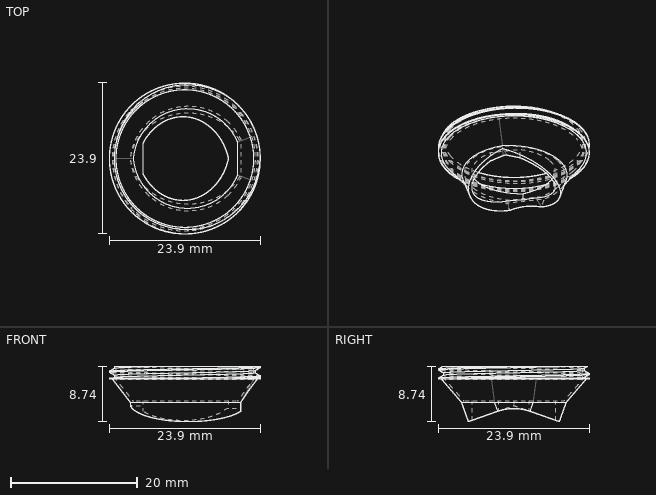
import cadquery as cq
import math

total_height = 8.74
rim_top = total_height
flange_top = rim_top - 1.85
flange_bottom = rim_top - 2.0
bore_bottom = rim_top - 2.05
floor_level = rim_top - 5.5
neck_top = rim_top - 5.68
roof_ridge = rim_top - 6.2

outer_radius = 23.85 / 2
bore_radius = 21.74 / 2
funnel_radius = 11.45

thread_pitch = 1.45
thread_flank_angle = 60
thread_depth = 0.8
thread_root_radius = outer_radius - thread_depth
flank_slope = math.tan(math.radians(thread_flank_angle / 2))
crest_width = 0.17
thread_overlap = 0.1
crest_drop = 0.12
thread_turns = 3

neck_cusp_x = -8.62
neck_flat_x = 8.84
neck_flat_half = 3.05
floor_cusp_x = -8.12
floor_wide = (0.5, 7.87)
floor_flat_x = 8.33
floor_flat_half = 2.6
flat_split_angle = math.radians(18)

hole_center_x = -0.29
hole_half_length = 6.59
hole_flat_x = -6.6
hole_shift = 2.17
hole_radius_x = 7.4
hole_radius_y = hole_half_length + hole_shift

neck_foot_y = 7.2
underside_slope = roof_ridge / neck_foot_y
underside_angle = math.atan(underside_slope)
neck_wide = (0.55, neck_foot_y + neck_top * underside_slope)
ridge_flat_radius = 8.0
ridge_cusp_radius = 0.05

clearance = 5.0
cut_margin = 0.1
tool_size = 4 * outer_radius


def egg_outline(cusp_x, wide, flat_x, flat_half, level):
    """Two arcs that meet in a cusp on the X axis and are joined by a flat."""
    wide_x, wide_y = wide
    return (
        cq.Workplane("XY", origin=(0, 0, level))
        .moveTo(cusp_x, 0)
        .threePointArc((wide_x, -wide_y), (flat_x, -flat_half))
        .lineTo(flat_x, flat_half)
        .threePointArc((wide_x, wide_y), (cusp_x, 0))
        .close()
    )


def split_circle(radius, level):
    """Circle in three arcs, matching the three edges of an egg outline."""
    corner_x = radius * math.cos(flat_split_angle)
    corner_y = radius * math.sin(flat_split_angle)
    return (
        cq.Workplane("XY", origin=(0, 0, level))
        .moveTo(-radius, 0)
        .threePointArc((0, -radius), (corner_x, -corner_y))
        .threePointArc((radius, 0), (corner_x, corner_y))
        .threePointArc((0, radius), (-radius, 0))
        .close()
    )


def funnel(radius, top, outline):
    """Ruled body from a circle down to an egg outline."""
    upper = split_circle(radius, top).val()
    return cq.Workplane(cq.Solid.makeLoft([outline.val(), upper], True))


def disc(radius, bottom, top):
    return cq.Workplane("XY", origin=(0, 0, bottom)).circle(radius).extrude(top - bottom)


def make_threaded_rim():
    """Root cylinder with the helical ridge, trimmed flat at both ends."""
    base_radius = thread_root_radius - thread_overlap
    base_half = crest_width / 2 + (outer_radius - base_radius) * flank_slope
    start = rim_top - crest_drop - (thread_turns - 1) * thread_pitch
    path = cq.Wire.makeHelix(
        thread_pitch, thread_turns * thread_pitch, thread_root_radius, cq.Vector(0, 0, start)
    )
    thread = (
        cq.Workplane("XZ", origin=(0, 0, start))
        .moveTo(base_radius, -base_half)
        .lineTo(outer_radius, -crest_width / 2)
        .lineTo(outer_radius, crest_width / 2)
        .lineTo(base_radius, base_half)
        .close()
        .sweep(cq.Workplane(path), isFrenet=True)
    )
    core = disc(thread_root_radius, flange_bottom - thread_pitch, rim_top + thread_pitch)
    return core.union(thread).intersect(disc(outer_radius + clearance, flange_top, rim_top))


def make_neck():
    """Two mirrored halves, each swept square to its own underside plane."""
    half_outline = (
        cq.Workplane("XY", origin=(0, 0, neck_top))
        .moveTo(neck_cusp_x, 0)
        .threePointArc(neck_wide, (neck_flat_x, neck_flat_half))
        .lineTo(neck_flat_x, 0)
        .close()
    )
    drop = neck_top + clearance
    sweep_vector = cq.Vector(0, -drop * underside_slope, -drop)
    half = cq.Workplane(cq.Solid.extrudeLinear(half_outline.val(), [], sweep_vector))
    positive_y = cq.Workplane("XY").box(tool_size, tool_size, tool_size, centered=(True, False, True))
    half = half.intersect(positive_y)
    return half.union(half.mirror("XZ"))


def underside_section(x, radius):
    """Section below the underside planes, with the ridge rounded by the given radius."""
    tangent_y = radius * math.sin(underside_angle)
    tangent_z = roof_ridge - tangent_y * underside_slope
    crown_z = roof_ridge - radius * (1 / math.cos(underside_angle) - 1)
    side_y = outer_radius
    side_z = roof_ridge - side_y * underside_slope
    base_z = -2 * clearance
    return (
        cq.Workplane("YZ", origin=(x, 0, 0))
        .moveTo(-side_y, side_z)
        .lineTo(-tangent_y, tangent_z)
        .threePointArc((0, crown_z), (tangent_y, tangent_z))
        .lineTo(side_y, side_z)
        .lineTo(side_y, base_z)
        .lineTo(-side_y, base_z)
        .close()
        .val()
    )


def make_underside_cut():
    """Body below the neck whose ridge rounding grows from the cusp to the flat."""
    sections = [
        underside_section(neck_cusp_x - cut_margin, ridge_cusp_radius),
        underside_section(neck_flat_x + cut_margin, ridge_flat_radius),
    ]
    return cq.Workplane(cq.Solid.makeLoft(sections, True))


def make_hole():
    """Straight hole with a cusp at +X and a flat at -X."""
    def shifted_ellipse(shift):
        center = (hole_center_x, shift, 0)
        return cq.Workplane("XY", origin=center).ellipse(hole_radius_x, hole_radius_y).extrude(rim_top)

    lens = shifted_ellipse(hole_shift).intersect(shifted_ellipse(-hole_shift))
    beyond_flat = cq.Workplane("XY", origin=(hole_flat_x, 0, 0)).box(
        tool_size, tool_size, tool_size, centered=(False, True, True)
    )
    return lens.intersect(beyond_flat)


rim = make_threaded_rim()
flange = disc(outer_radius, flange_bottom, flange_top)
neck_outline = egg_outline(neck_cusp_x, neck_wide, neck_flat_x, neck_flat_half, neck_top)
outer_funnel = funnel(funnel_radius, flange_bottom, neck_outline)
neck = make_neck().cut(make_underside_cut())

floor_outline = egg_outline(floor_cusp_x, floor_wide, floor_flat_x, floor_flat_half, floor_level)
inner_funnel = funnel(bore_radius, bore_bottom, floor_outline)
bore = disc(bore_radius, bore_bottom, rim_top)
hole = make_hole()

body = rim.union(flange).union(outer_funnel).union(neck)
result = body.cut(bore).cut(inner_funnel).cut(hole)